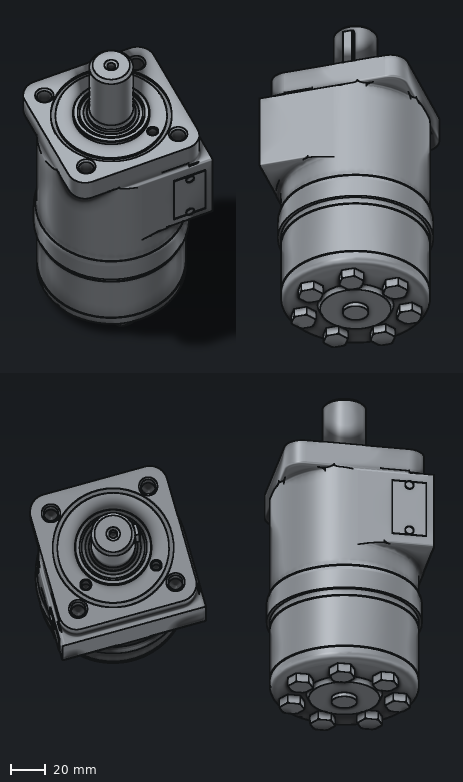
import cadquery as cq
import math


PILOT_TOP = 2.4
FLANGE_THICKNESS = 15.7
FLANGE_BOTTOM = -FLANGE_THICKNESS
PORT_BLOCK_BOTTOM = -63.3
FLARE_TOP = -76.4
RING_TOP = -80.4
RING_BOTTOM = -95.2
GEROTOR_TOP = -99.4
COVER_TOP = -132.4
COVER_BOTTOM = -141.2
STEP_BOTTOM = -144.2
PLUG_BOTTOM = -146.81
BOLT_BOTTOM = -146.7

BODY_RADIUS = 43.2
RING_RADIUS = 45.0
RING_EDGE_ROUND = 4.6
FLARE_RADIUS = 43.9
FLARE_LAND = 0.6
JOINT_GROOVE_DEPTH = 0.3
COVER_EDGE_ROUND = 5.0
STEP_TOP_RADIUS = 22.0
STEP_RADIUS = 20.5
PLUG_RADIUS = 7.3

FLANGE_WIDTH = 82.0
FLANGE_CORNER_RADIUS = 10.5
FLANGE_BLEND = 2.0
MOUNT_HOLE_SPACING = 58.4
MOUNT_HOLE_DIAMETER = 8.5
MOUNT_HOLE_MOUTH = 10.8
MOUNT_HOLE_DEPTH = 12.0
SMALL_HOLE_X = 21.1
SMALL_HOLE_Y = 16.7
SMALL_HOLE_DIAMETER = 5.2
SMALL_HOLE_MOUTH = 6.6
SMALL_HOLE_DEPTH = 12.0
DRILL_TIP_ANGLE = 118.0
GROOVE_OUTER_RADIUS = 35.0
GROOVE_INNER_RADIUS = 32.3
GROOVE_DEPTH = 1.5

PILOT_RADIUS = 22.2
PILOT_CHAMFER = 0.4
SEAL_GAP_OUTER_RADIUS = 19.5
SEAL_RADIUS = 18.3
SEAL_GAP_DEPTH = 1.0
SEAL_FACE_DEPTH = 0.3
SEAL_LIP_RADIUS = 16.1
SEAL_LIP_DEPTH = 0.8

SHAFT_TOP = 45.2
SHAFT_RADIUS = 12.7
SHAFT_CHAMFER = 1.9
COLLAR_RADIUS = 14.1
COLLAR_CHAMFER = 0.5
COLLAR_TOP = 4.2
COLLAR_TAPER_TOP = 5.8
CENTRE_MOUTH_DIAMETER = 8.0
CENTRE_HOLE_DIAMETER = 4.8
CENTRE_HOLE_DEPTH = 8.0
CENTRE_CONE_ANGLE = 120.0

PORT_FACE_Y = 45.0
PORT_BLOCK_BLEND = 2.7
PORT_BLOCK_EDGE_ROUND = 1.3
PORT_FACE_CHAMFER = 0.4

PLATE_FACE_X = 43.8
PLATE_Y = 30.0
PLATE_WIDTH = 20.0
PLATE_TOP = -22.5
PLATE_BOTTOM = -57.0
RIVET_DIAMETER = 5.0
RIVET_FACE_X = 44.4

BOLT_COUNT = 7
BOLT_CIRCLE_RADIUS = 31.4
BOLT_ACROSS_FLATS = 13.0
BOLT_CHAMFER = 0.5

KEY_DISC_RADIUS = 12.7
KEY_WIDTH = 6.35
KEY_HEIGHT = 11.1
KEY_EDGE_CHAMFER = 0.6
KEY_TOP_X = -15.4
KEY_CENTRE_Z = 26.8
KEY_DISC_CENTRE_X = KEY_TOP_X + KEY_HEIGHT - KEY_DISC_RADIUS


def cylinder(radius, bottom, top):
    return cq.Workplane("XY").workplane(offset=bottom).circle(radius).extrude(top - bottom)


def flange_prism(bottom, top, growth=0.0):
    """The flange outline, moved outward by growth, as a prism."""
    width = FLANGE_WIDTH + 2 * growth
    prism = cq.Workplane("XY").workplane(offset=bottom).rect(width, width).extrude(top - bottom)
    return prism.edges("|Z").fillet(FLANGE_CORNER_RADIUS + growth)


def port_block_prism(half_width, bottom, top, start_y=0.0):
    """Block from start_y to the port face."""
    base = cq.Workplane("XY").workplane(offset=bottom).center(0, (start_y + PORT_FACE_Y) / 2)
    return base.rect(2 * half_width, PORT_FACE_Y - start_y).extrude(top - bottom)


def cove_ring(level, radius):
    """Concave ring filling the corner between the body wall and an overhang at the given level."""
    diagonal = radius * (1 - math.sqrt(0.5))
    return (
        cq.Workplane("XZ")
        .moveTo(BODY_RADIUS, level)
        .lineTo(BODY_RADIUS, level - radius)
        .threePointArc((BODY_RADIUS + diagonal, level - diagonal), (BODY_RADIUS + radius, level))
        .close()
        .revolve(360, (0, 0, 0), (0, 1, 0))
    )


def drilled_hole(x, y, top, diameter, mouth_diameter, depth, mouth_angle=90.0):
    """Blind hole with a countersunk mouth and a drill-point bottom, as a cutting solid."""
    radius = diameter / 2
    mouth_radius = mouth_diameter / 2
    mouth_depth = (mouth_radius - radius) / math.tan(math.radians(mouth_angle / 2))
    tip_depth = radius / math.tan(math.radians(DRILL_TIP_ANGLE / 2))
    return (
        cq.Workplane("XZ")
        .moveTo(0, 0)
        .lineTo(mouth_radius, 0)
        .lineTo(radius, -mouth_depth)
        .lineTo(radius, -depth)
        .lineTo(0, -depth - tip_depth)
        .close()
        .revolve(360, (0, 0, 0), (0, 1, 0))
        .translate((x, y, top))
    )


def make_lower_body():
    """Round body below the flange: casting, ring, gerotor set, cover and its stepped end."""
    groove_radius = BODY_RADIUS - JOINT_GROOVE_DEPTH
    round_centre_r = RING_RADIUS - RING_EDGE_ROUND
    round_rise = math.sqrt(RING_EDGE_ROUND**2 - (FLARE_RADIUS - round_centre_r) ** 2)
    round_bottom = RING_TOP - round_rise
    middle_angle = math.atan2(round_rise, FLARE_RADIUS - round_centre_r) / 2
    round_middle = (
        round_centre_r + RING_EDGE_ROUND * math.cos(middle_angle),
        round_bottom + RING_EDGE_ROUND * math.sin(middle_angle),
    )
    cover_round_r = BODY_RADIUS - COVER_EDGE_ROUND
    cover_round_z = COVER_BOTTOM + COVER_EDGE_ROUND
    cover_round_diagonal = COVER_EDGE_ROUND * math.sqrt(0.5)

    profile = (
        cq.Workplane("XZ")
        .moveTo(0, FLANGE_BOTTOM)
        .lineTo(BODY_RADIUS, FLANGE_BOTTOM)
        .lineTo(BODY_RADIUS, FLARE_TOP)
        .tangentArcPoint((FLARE_RADIUS, RING_TOP + FLARE_LAND), relative=False)
        .lineTo(FLARE_RADIUS, RING_TOP)
        .threePointArc(round_middle, (RING_RADIUS, round_bottom))
        .lineTo(RING_RADIUS, RING_BOTTOM)
        .lineTo(BODY_RADIUS, RING_BOTTOM)
    )
    for joint in (GEROTOR_TOP, COVER_TOP):
        profile = (
            profile.lineTo(BODY_RADIUS, joint + JOINT_GROOVE_DEPTH)
            .lineTo(groove_radius, joint)
            .lineTo(BODY_RADIUS, joint - JOINT_GROOVE_DEPTH)
        )
    return (
        profile.lineTo(BODY_RADIUS, cover_round_z)
        .threePointArc(
            (cover_round_r + cover_round_diagonal, cover_round_z - cover_round_diagonal),
            (cover_round_r, COVER_BOTTOM),
        )
        .lineTo(STEP_TOP_RADIUS, COVER_BOTTOM)
        .lineTo(STEP_RADIUS, STEP_BOTTOM)
        .lineTo(PLUG_RADIUS, STEP_BOTTOM)
        .lineTo(PLUG_RADIUS, PLUG_BOTTOM)
        .lineTo(0, PLUG_BOTTOM)
        .close()
        .revolve(360, (0, 0, 0), (0, 1, 0))
    )


def make_port_block():
    """Block behind the body with a concave blend from its underside into the round wall."""
    block = port_block_prism(BODY_RADIUS, PORT_BLOCK_BOTTOM, FLANGE_BOTTOM)
    block = block.edges("|Y and <Z").fillet(PORT_BLOCK_EDGE_ROUND)
    block = block.edges("|Z and >Y").chamfer(PORT_FACE_CHAMFER)
    round_top = PORT_BLOCK_BOTTOM + PORT_BLOCK_EDGE_ROUND
    blend_zone = port_block_prism(BODY_RADIUS, PORT_BLOCK_BOTTOM - PORT_BLOCK_BLEND, round_top)
    root = cylinder(BODY_RADIUS + PORT_BLOCK_BLEND, PORT_BLOCK_BOTTOM, round_top)
    blend = cove_ring(PORT_BLOCK_BOTTOM, PORT_BLOCK_BLEND).union(root)
    return block.union(blend.intersect(blend_zone))


def lower_shoulder(body):
    """Cut the body down beside the flange, leaving the port block with rounded side edges."""
    shoulder_bottom = FLANGE_BOTTOM - FLANGE_BLEND
    block = port_block_prism(BODY_RADIUS, shoulder_bottom - FLANGE_BLEND, FLANGE_BOTTOM)
    block = block.edges("|Y and >Z").fillet(FLANGE_BLEND)
    cutting_width = 3 * BODY_RADIUS
    slab = cq.Workplane("XY").workplane(offset=shoulder_bottom).rect(cutting_width, cutting_width)
    slab = slab.extrude(FLANGE_BLEND)
    return body.cut(slab.cut(block).cut(flange_prism(shoulder_bottom, FLANGE_BOTTOM)))


def make_side_blends():
    """S-shaped blends from three flange sides to the body wall: a cove that runs into a round."""
    overhang = BODY_RADIUS - FLANGE_WIDTH / 2
    round_centre_z = FLANGE_BOTTOM - FLANGE_BLEND
    centre_offset = 2 * FLANGE_BLEND - overhang
    cove_centre_z = round_centre_z + math.sqrt((2 * FLANGE_BLEND) ** 2 - centre_offset**2)
    blend_length = FLANGE_WIDTH - 2 * FLANGE_CORNER_RADIUS
    base_z = round_centre_z - FLANGE_BLEND
    root = FLANGE_BLEND
    strip = (
        cq.Workplane("XZ", origin=(FLANGE_WIDTH / 2, 0, 0))
        .moveTo(-root, base_z)
        .lineTo(overhang, base_z)
        .lineTo(overhang, round_centre_z)
        .tangentArcPoint((overhang / 2, (round_centre_z + cove_centre_z) / 2), relative=False)
        .tangentArcPoint((0, cove_centre_z), relative=False)
        .lineTo(-root, cove_centre_z)
        .close()
        .extrude(blend_length / 2, both=True)
    )
    outline = cylinder(BODY_RADIUS, base_z, cove_centre_z)
    outline = outline.union(port_block_prism(BODY_RADIUS, base_z, cove_centre_z))
    blends = []
    for angle in (0, 180, 270):
        blends.append(strip.rotate((0, 0, 0), (0, 0, 1), angle).intersect(outline))
    return blends


def make_flange_skirt():
    """Concave blend from the flange onto the top of the port block."""
    blend_top = FLANGE_BOTTOM + FLANGE_BLEND
    plate_width = FLANGE_WIDTH + 6 * FLANGE_BLEND
    plate = cq.Workplane("XY", origin=(0, 0, FLANGE_BOTTOM - FLANGE_BLEND))
    plate = plate.rect(plate_width, plate_width).extrude(FLANGE_BLEND)
    skirt = plate.union(flange_prism(FLANGE_BOTTOM, FLANGE_BOTTOM + 2 * FLANGE_BLEND))
    reach = FLANGE_WIDTH / 2 + FLANGE_BLEND
    flange_foot = cq.selectors.BoxSelector(
        (-reach, -reach, FLANGE_BOTTOM - FLANGE_BLEND / 2),
        (reach, reach, FLANGE_BOTTOM + FLANGE_BLEND / 2),
    )
    skirt = skirt.edges(flange_foot).edges("#Z").fillet(FLANGE_BLEND)
    runout = (BODY_RADIUS + FLANGE_WIDTH / 2) / 2
    corner_start = FLANGE_WIDTH / 2 - FLANGE_CORNER_RADIUS
    zone = port_block_prism(runout, FLANGE_BOTTOM, blend_top, corner_start)
    return skirt.intersect(zone)


def make_flange():
    """Square flange with rounded lower edge, blended into the body and the port block."""
    flange = flange_prism(FLANGE_BOTTOM, 0).faces("<Z").edges().fillet(FLANGE_BLEND)
    core = cylinder(BODY_RADIUS, FLANGE_BOTTOM, FLANGE_BOTTOM + FLANGE_BLEND)
    core = core.intersect(flange_prism(FLANGE_BOTTOM, FLANGE_BOTTOM + FLANGE_BLEND))
    corner_blend = cove_ring(FLANGE_BOTTOM, FLANGE_BLEND)
    flange_underside = flange_prism(FLANGE_BOTTOM - FLANGE_BLEND, FLANGE_BOTTOM, -FLANGE_BLEND)
    corner_blend = corner_blend.intersect(flange_underside)
    flange = flange.union(core).union(corner_blend).union(make_flange_skirt())
    for blend in make_side_blends():
        flange = flange.union(blend)
    return flange


def make_pilot_and_shaft():
    """Pilot ring, stepped seal face and the shaft with its collar, turned about one axis."""
    gap_floor = PILOT_TOP - SEAL_GAP_DEPTH
    seal_face = PILOT_TOP - SEAL_FACE_DEPTH
    lip_face = PILOT_TOP - SEAL_LIP_DEPTH
    return (
        cq.Workplane("XZ")
        .moveTo(0, 0)
        .lineTo(PILOT_RADIUS, 0)
        .lineTo(PILOT_RADIUS, PILOT_TOP - PILOT_CHAMFER)
        .lineTo(PILOT_RADIUS - PILOT_CHAMFER, PILOT_TOP)
        .lineTo(SEAL_GAP_OUTER_RADIUS, PILOT_TOP)
        .lineTo(SEAL_GAP_OUTER_RADIUS, gap_floor)
        .lineTo(SEAL_RADIUS, gap_floor)
        .lineTo(SEAL_RADIUS, seal_face)
        .lineTo(SEAL_LIP_RADIUS, seal_face)
        .lineTo(SEAL_LIP_RADIUS, lip_face)
        .lineTo(COLLAR_RADIUS, lip_face)
        .lineTo(COLLAR_RADIUS, COLLAR_TOP - COLLAR_CHAMFER)
        .lineTo(COLLAR_RADIUS - COLLAR_CHAMFER, COLLAR_TOP)
        .lineTo(SHAFT_RADIUS, COLLAR_TAPER_TOP)
        .lineTo(SHAFT_RADIUS, SHAFT_TOP - SHAFT_CHAMFER)
        .lineTo(SHAFT_RADIUS - SHAFT_CHAMFER, SHAFT_TOP)
        .lineTo(0, SHAFT_TOP)
        .close()
        .revolve(360, (0, 0, 0), (0, 1, 0))
    )


def make_seal_groove():
    """Face-seal groove in the mounting face, as a cutting solid."""
    outer = cylinder(GROOVE_OUTER_RADIUS, -GROOVE_DEPTH, 0)
    return outer.cut(cylinder(GROOVE_INNER_RADIUS, -GROOVE_DEPTH, 0))


def make_nameplate():
    """Thin plate on the +X side of the port block, held by a rivet at each end."""
    height = PLATE_TOP - PLATE_BOTTOM
    middle = (PLATE_TOP + PLATE_BOTTOM) / 2
    rivet_offset = (height - RIVET_DIAMETER) / 2
    base = cq.Workplane("YZ", origin=(BODY_RADIUS, PLATE_Y, middle))
    plate = base.rect(PLATE_WIDTH, height).extrude(PLATE_FACE_X - BODY_RADIUS)
    rivets = base.pushPoints([(0, rivet_offset), (0, -rivet_offset)])
    return plate.union(rivets.circle(RIVET_DIAMETER / 2).extrude(RIVET_FACE_X - BODY_RADIUS))


def make_bolt_head(x, y):
    """Hexagon head with flats facing +X and -X and a chamfered outer rim."""
    across_corners = BOLT_ACROSS_FLATS / math.cos(math.pi / 6)
    height = COVER_BOTTOM - BOLT_BOTTOM
    head = cq.Workplane("XY").polygon(6, across_corners).extrude(height)
    head = head.rotate((0, 0, 0), (0, 0, 1), 30)
    turned = cq.Workplane("XY").circle(across_corners / 2).extrude(height)
    turned = turned.faces("<Z").chamfer(BOLT_CHAMFER)
    return head.intersect(turned).translate((x, y, BOLT_BOTTOM))


def make_key():
    """Woodruff key: a disc cut off flat, its chamfered flat side facing -X."""
    disc = cq.Workplane("XZ", origin=(KEY_DISC_CENTRE_X, 0, KEY_CENTRE_Z))
    disc = disc.circle(KEY_DISC_RADIUS).extrude(KEY_WIDTH / 2, both=True)
    kept = cq.Workplane("XY").box(KEY_HEIGHT, KEY_WIDTH, 2 * KEY_DISC_RADIUS)
    kept = kept.translate((KEY_TOP_X + KEY_HEIGHT / 2, 0, KEY_CENTRE_Z))
    return disc.intersect(kept).faces("<X").chamfer(KEY_EDGE_CHAMFER)


def make_motor(key):
    motor = make_lower_body().union(make_port_block())
    motor = lower_shoulder(motor)
    motor = motor.union(make_flange()).union(make_pilot_and_shaft()).union(make_nameplate())
    for index in range(BOLT_COUNT):
        angle = math.pi / 2 + index * 2 * math.pi / BOLT_COUNT
        x = BOLT_CIRCLE_RADIUS * math.cos(angle)
        y = BOLT_CIRCLE_RADIUS * math.sin(angle)
        motor = motor.union(make_bolt_head(x, y))

    motor = motor.cut(make_seal_groove())
    for side_x in (-1, 1):
        for side_y in (-1, 1):
            x = side_x * MOUNT_HOLE_SPACING / 2
            y = side_y * MOUNT_HOLE_SPACING / 2
            motor = motor.cut(
                drilled_hole(x, y, 0, MOUNT_HOLE_DIAMETER, MOUNT_HOLE_MOUTH, MOUNT_HOLE_DEPTH)
            )
        motor = motor.cut(
            drilled_hole(
                side_x * SMALL_HOLE_X, SMALL_HOLE_Y, 0,
                SMALL_HOLE_DIAMETER, SMALL_HOLE_MOUTH, SMALL_HOLE_DEPTH,
            )
        )
    motor = motor.cut(
        drilled_hole(
            0, 0, SHAFT_TOP,
            CENTRE_HOLE_DIAMETER, CENTRE_MOUTH_DIAMETER, CENTRE_HOLE_DEPTH, CENTRE_CONE_ANGLE,
        )
    )
    return motor.cut(key)


key = make_key()
motor = make_motor(key)

result = cq.Compound.makeCompound([motor.val(), key.val()])